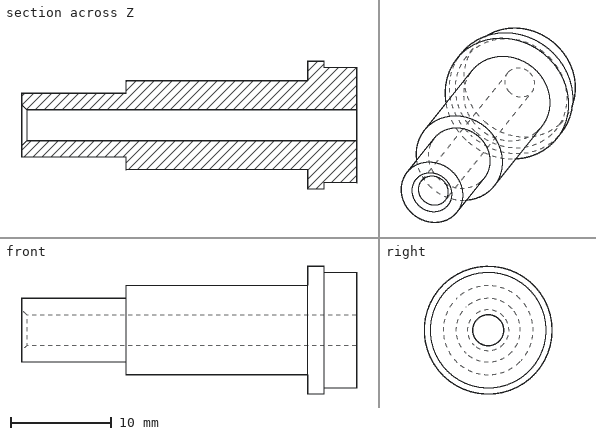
import cadquery as cq

total_length = 33.27
body_start = 10.35
flange_start = 28.38
head_start = 30.0

nose_diameter = 6.35
body_diameter = 8.88
flange_diameter = 12.7
head_diameter = 11.48

bore_diameter = 3.05
countersink_diameter = 4.1
countersink_depth = (countersink_diameter - bore_diameter) / 2


def cylinder(start, end, diameter):
    """Solid cylinder on the X axis between two axial positions."""
    return cq.Workplane("YZ", origin=(start, 0, 0)).circle(diameter / 2).extrude(end - start)


part = cylinder(0, body_start, nose_diameter)
part = part.union(cylinder(body_start, flange_start, body_diameter))
part = part.union(cylinder(flange_start, head_start, flange_diameter))
part = part.union(cylinder(head_start, total_length, head_diameter))

part = part.cut(cylinder(0, total_length, bore_diameter))
result = part.faces("<X").edges("%CIRCLE").edges(cq.selectors.RadiusNthSelector(0)).chamfer(countersink_depth)